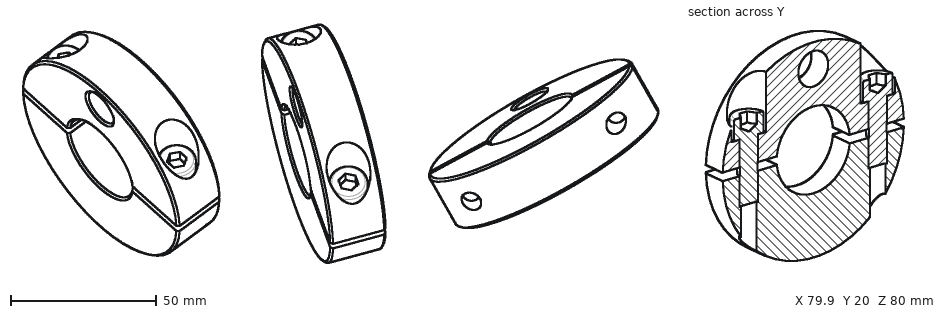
import cadquery as cq
import math

outer_radius = 40.0
bore_radius = 16.0
width = 20.0
edge_chamfer = 0.8
split_gap = 3.0

cross_hole_diameter = 13.0
cross_hole_height = 30.0

screw_offset = 28.4
shank_diameter = 8.0
head_diameter = 13.1
head_height = 8.0
head_fillet = 0.8
head_top = 20.0
screw_length = 25.0
hex_across_flats = 6.0
hex_depth = 4.0
socket_cone_angle = 120.0

counterbore_diameter = 15.0
core_hole_diameter = 6.7

half_gap = split_gap / 2
head_seat = head_top - head_height
screw_tip = head_seat - screw_length
hex_across_corners = hex_across_flats / math.cos(math.radians(30))
screw_positions = (-screw_offset, screw_offset)


def z_cylinder(diameter, x, bottom, top):
    """Vertical cylinder centred on the collar's middle plane."""
    base = cq.Workplane("XY", origin=(x, 0, bottom))
    return base.circle(diameter / 2).extrude(top - bottom)


def make_ring():
    """Full collar ring with all four circular edges chamfered."""
    ring = cq.Workplane("XZ").circle(outer_radius).circle(bore_radius).extrude(width / 2, both=True)
    return ring.faces("<Y or >Y").edges().chamfer(edge_chamfer)


def half_space(side):
    """Block holding everything beyond the split gap; side is +1 above, -1 below."""
    middle = side * (half_gap + outer_radius / 2)
    return cq.Workplane("XY", origin=(0, 0, middle)).box(2 * outer_radius, width, outer_radius)


def make_cross_hole():
    """Cutter for the through hole with a chamfered rim on both faces."""
    radius = cross_hole_diameter / 2
    half_width = width / 2
    return (
        cq.Workplane("XY", origin=(0, 0, cross_hole_height))
        .moveTo(0, -half_width)
        .lineTo(radius + edge_chamfer, -half_width)
        .lineTo(radius, -half_width + edge_chamfer)
        .lineTo(radius, half_width - edge_chamfer)
        .lineTo(radius + edge_chamfer, half_width)
        .lineTo(0, half_width)
        .close()
        .revolve(360, (0, 0, 0), (0, 1, 0))
    )


def make_upper_half():
    """Half with the cross hole and the counterbored screw holes."""
    half = make_ring().intersect(half_space(1)).cut(make_cross_hole())
    for x in screw_positions:
        half = half.cut(z_cylinder(shank_diameter, x, 0, head_seat))
        half = half.cut(z_cylinder(counterbore_diameter, x, head_seat, outer_radius))
    return half


def make_lower_half():
    """Half that takes the screw shanks, with core holes running out below them."""
    half = make_ring().intersect(half_space(-1))
    for x in screw_positions:
        half = half.cut(z_cylinder(shank_diameter, x, screw_tip, 0))
        half = half.cut(z_cylinder(core_hole_diameter, x, -outer_radius, screw_tip))
    return half


def make_socket(x):
    """Cutter for the hexagon socket with a conical bottom."""
    hexagon = (
        cq.Workplane("XY", origin=(x, 0, head_top))
        .polygon(6, hex_across_corners)
        .extrude(-head_height)
    )
    radius = hex_across_corners / 2
    cone_depth = radius / math.tan(math.radians(socket_cone_angle / 2))
    drill = (
        cq.Workplane("XZ", origin=(x, 0, head_top))
        .lineTo(radius, 0)
        .lineTo(radius, -hex_depth)
        .lineTo(0, -hex_depth - cone_depth)
        .close()
        .revolve(360, (0, 0, 0), (0, 1, 0))
    )
    return hexagon.intersect(drill)


def make_screw(x):
    """Socket head cap screw."""
    head = z_cylinder(head_diameter, x, head_seat, head_top).faces(">Z").edges().fillet(head_fillet)
    shank = z_cylinder(shank_diameter, x, screw_tip, head_seat)
    return head.union(shank).cut(make_socket(x))


upper_half = make_upper_half()
lower_half = make_lower_half()
screws = [make_screw(x) for x in screw_positions]

result = cq.Compound.makeCompound(
    [upper_half.val(), lower_half.val(), *[screw.val() for screw in screws]]
)